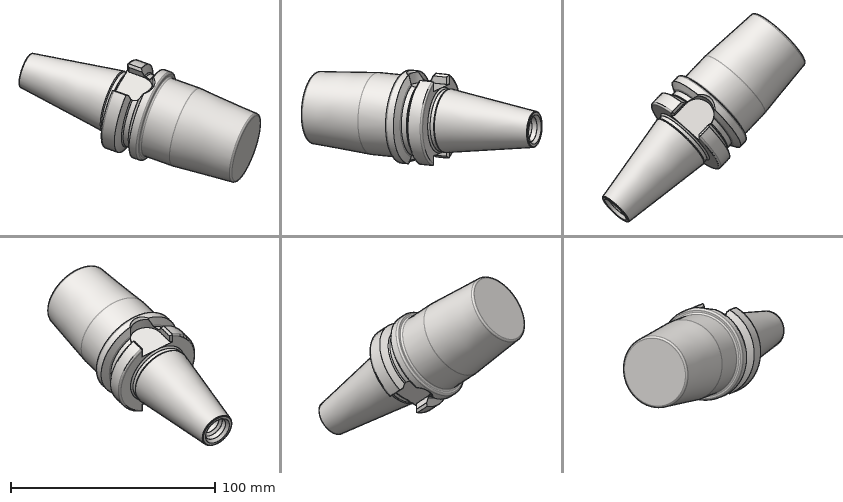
import cadquery as cq
import math

taper_start_radius = 8.9
taper_slope = 7 / 48
taper_end = 47.0
rim_chamfer = 0.4
neck_start = 47.6
neck_end = 49.5
neck_radius = 15.4

flange_start = 50.4
flange_end = 70.5
flange_radius = 23.0
flange_round = 1.0
flange_foot_radius = 16.2
front_collar_end = 57.9
rear_collar_start = 65.8
groove_floor_start = 60.7
groove_floor_end = 63.5
groove_radius = 18.8
groove_flank_angle = 30
groove_front_corner = 0.7
groove_rear_corner = 0.4

total_length = 118.4
nose_radius = 20.2
nose_corner = 0.8
nose_cylinder_end = 86.3
nose_end_radius = 17.9
nose_round = 1.0

slot_half_width = 8.0
slot_floor = 16.2
slot_end = 67.5
slot_chamfer = 1.2

bore_mouth_radius = 7.2
bore_radius = 6.2
bore_mouth_depth = 1.8
bore_step_start = 4.5
bore_step_end = 5.9
pilot_radius = 5.1
pilot_depth = 23.7
drill_point_angle = 118


def round_midpoint(center_x, center_r, radius, direction_x, direction_r):
    """Middle point of a quarter round about the given centre."""
    reach = radius * math.sqrt(0.5)
    return (center_x + direction_x * reach, center_r + direction_r * reach)


def revolve_about_x(profile):
    return profile.close().revolve(360, (0, 0, 0), (1, 0, 0))


def make_body():
    taper_end_radius = taper_start_radius + taper_slope * taper_end
    flank_slope = math.tan(math.radians(groove_flank_angle))
    front_flank_end = groove_floor_start - groove_front_corner
    front_flank_radius = flange_radius - (front_flank_end - front_collar_end) / flank_slope
    rear_flank_start = groove_floor_end + groove_rear_corner
    rear_flank_radius = flange_radius - (rear_collar_start - rear_flank_start) / flank_slope
    shoulder = flange_radius - flange_round
    nose_edge = total_length - nose_round
    profile = (
        cq.Workplane("XY")
        .moveTo(0, 0)
        .lineTo(0, taper_start_radius - rim_chamfer)
        .lineTo(rim_chamfer, taper_start_radius + taper_slope * rim_chamfer)
        .lineTo(taper_end, taper_end_radius)
        .lineTo(neck_start, neck_radius)
        .lineTo(neck_end, neck_radius)
        .lineTo(flange_start, flange_foot_radius)
        .lineTo(flange_start, shoulder)
        .threePointArc(
            round_midpoint(flange_start + flange_round, shoulder, flange_round, -1, 1),
            (flange_start + flange_round, flange_radius),
        )
        .lineTo(front_collar_end, flange_radius)
        .lineTo(front_flank_end, front_flank_radius)
        .lineTo(groove_floor_start, groove_radius)
        .lineTo(groove_floor_end, groove_radius)
        .lineTo(rear_flank_start, rear_flank_radius)
        .lineTo(rear_collar_start, flange_radius)
        .lineTo(flange_end - flange_round, flange_radius)
        .threePointArc(
            round_midpoint(flange_end - flange_round, shoulder, flange_round, 1, 1),
            (flange_end, shoulder),
        )
        .lineTo(flange_end, nose_radius + nose_corner)
        .threePointArc(
            round_midpoint(flange_end + nose_corner, nose_radius + nose_corner, nose_corner, -1, -1),
            (flange_end + nose_corner, nose_radius),
        )
        .lineTo(nose_cylinder_end, nose_radius)
        .lineTo(nose_edge, nose_end_radius)
        .threePointArc(
            round_midpoint(nose_edge, nose_end_radius - nose_round, nose_round, 1, 1),
            (total_length, nose_end_radius - nose_round),
        )
        .lineTo(total_length, 0)
    )
    return revolve_about_x(profile)


def make_bore():
    point_length = pilot_radius / math.tan(math.radians(drill_point_angle / 2))
    profile = (
        cq.Workplane("XY")
        .moveTo(0, 0)
        .lineTo(0, bore_mouth_radius)
        .lineTo(bore_mouth_depth, bore_radius)
        .lineTo(bore_step_start, bore_radius)
        .lineTo(bore_step_end, pilot_radius)
        .lineTo(pilot_depth, pilot_radius)
        .lineTo(pilot_depth + point_length, 0)
    )
    return revolve_about_x(profile)


def make_slot():
    """Slot at +Z, open toward the shank, round at the far end, with bevelled edges."""
    arc_center = slot_end - slot_half_width
    flared_half_width = slot_half_width + slot_chamfer
    depth = flange_radius - slot_floor
    slot = (
        cq.Workplane("XY")
        .workplane(offset=slot_floor)
        .moveTo(flange_start, -flared_half_width)
        .lineTo(flange_start + slot_chamfer, -slot_half_width)
        .lineTo(arc_center, -slot_half_width)
        .threePointArc((slot_end, 0), (arc_center, slot_half_width))
        .lineTo(flange_start + slot_chamfer, slot_half_width)
        .lineTo(flange_start, flared_half_width)
        .close()
        .extrude(depth)
    )

    bevel_cone = cq.Solid.makeCone(
        slot_half_width,
        flared_half_width,
        slot_chamfer,
        pnt=cq.Vector(arc_center, 0, flange_radius - slot_chamfer),
        dir=cq.Vector(0, 0, 1),
    )

    bevel_top = math.sqrt(flange_radius**2 - flared_half_width**2)
    bevel_base = bevel_top - slot_chamfer
    bevel_rise = flange_radius - bevel_base
    edge_bevel = (
        cq.Workplane("YZ")
        .workplane(offset=flange_start)
        .moveTo(-slot_half_width, bevel_base)
        .lineTo(slot_half_width, bevel_base)
        .lineTo(slot_half_width + bevel_rise, flange_radius)
        .lineTo(-slot_half_width - bevel_rise, flange_radius)
        .close()
        .extrude(groove_floor_start - flange_start)
    )
    return slot.union(cq.Workplane(obj=bevel_cone)).union(edge_bevel)


body = make_body().cut(make_bore())
slot = make_slot()
result = body.cut(slot).cut(slot.mirror("XY"))